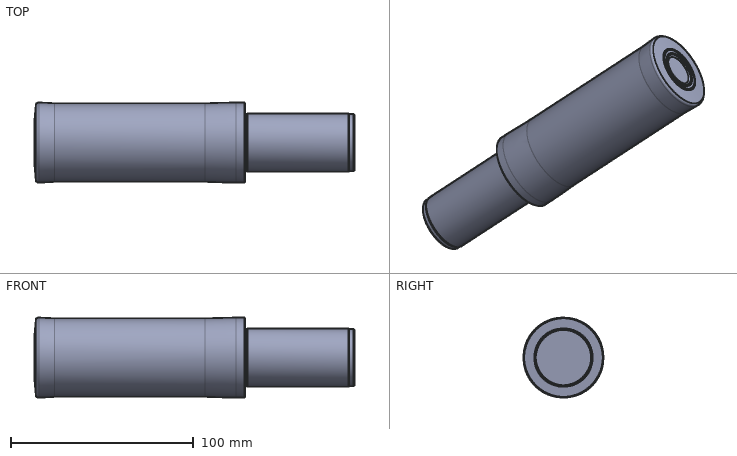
import cadquery as cq

LENGTH = 175.0
RIM_R = 44.0 / 2
BARREL_R = 43.0 / 2

RIM_EDGE = 1.0
EDGE_BULGE = 0.23
BASE_RISE = 0.7
RIM_START = 2.5
RIM_TAPER_END = 10.8
RIM_SAG = 0.1

FLARE_START = 93.1
FLARE_END = 110.0
FLARE_SAG = 0.1
HOUSING_END = 115.2
COLLAR_BEVEL = 0.5

BOSS_R = 13.0
BOSS_BEVEL = 0.9
BOSS_DEPTH = 0.5
PORT_R = 10.3
PORT_DEPTH = 0.4
PORT_SEAT_R = 9.5
PORT_BEVEL_DEPTH = 0.5
PORT_FLOOR_R = 8.2

ROD_R = 32.0 / 2
ROD_NECK_R = 31.5 / 2
ROD_INNER_END = FLARE_START
ROD_SHOULDER = 116.2
ROD_SHOULDER_BEVEL = 0.5
ROD_TIP_STEP = 171.5
ROD_TIP_BEVEL = 0.7
ROD_END_BEVEL = 0.7


def revolve_about_x(profile):
    """Turn a closed (axial, radial) profile about the X axis."""
    return profile.close().revolve(360, (0, 0, 0), (1, 0, 0))


def make_outer_housing():
    edge_middle = ((BASE_RISE + RIM_START) / 2 - EDGE_BULGE, RIM_R - RIM_EDGE / 2 + EDGE_BULGE)
    rim_middle = ((RIM_START + RIM_TAPER_END) / 2, (BARREL_R + RIM_R) / 2 + RIM_SAG)
    flare_middle = ((FLARE_START + FLARE_END) / 2, (BARREL_R + RIM_R) / 2 + FLARE_SAG)
    profile = (
        cq.Workplane("XY")
        .moveTo(0, 0)
        .lineTo(0, BOSS_R)
        .lineTo(BASE_RISE, RIM_R - RIM_EDGE)
        .threePointArc(edge_middle, (RIM_START, RIM_R))
        .threePointArc(rim_middle, (RIM_TAPER_END, BARREL_R))
        .lineTo(FLARE_START, BARREL_R)
        .threePointArc(flare_middle, (FLARE_END, RIM_R))
        .lineTo(HOUSING_END - COLLAR_BEVEL, RIM_R)
        .lineTo(HOUSING_END, RIM_R - COLLAR_BEVEL)
        .lineTo(HOUSING_END, 0)
    )
    return revolve_about_x(profile)


def make_boss_groove():
    """V groove that leaves a bevelled boss around the port."""
    profile = (
        cq.Workplane("XY")
        .moveTo(0, BOSS_R - BOSS_BEVEL)
        .lineTo(BOSS_DEPTH, BOSS_R)
        .lineTo(0, BOSS_R)
    )
    return revolve_about_x(profile)


def make_port():
    """Shallow port with a flat seat and a bevel down to its floor."""
    floor = PORT_DEPTH + PORT_BEVEL_DEPTH
    profile = (
        cq.Workplane("XY")
        .moveTo(0, 0)
        .lineTo(0, PORT_R)
        .lineTo(PORT_DEPTH, PORT_R)
        .lineTo(PORT_DEPTH, PORT_SEAT_R)
        .lineTo(floor, PORT_FLOOR_R)
        .lineTo(floor, 0)
    )
    return revolve_about_x(profile)


def make_rod_bore():
    """Blind bore that fits the neck of the rod."""
    depth = HOUSING_END - ROD_INNER_END
    return cq.Workplane("YZ", origin=(ROD_INNER_END, 0, 0)).circle(ROD_NECK_R).extrude(depth)


def make_housing():
    housing = make_outer_housing().cut(make_boss_groove())
    return housing.cut(make_port()).cut(make_rod_bore())


def make_rod():
    profile = (
        cq.Workplane("XY")
        .moveTo(ROD_INNER_END, 0)
        .lineTo(ROD_INNER_END, ROD_NECK_R)
        .lineTo(ROD_SHOULDER, ROD_NECK_R)
        .lineTo(ROD_SHOULDER + ROD_SHOULDER_BEVEL, ROD_R)
        .lineTo(ROD_TIP_STEP, ROD_R)
        .lineTo(ROD_TIP_STEP + ROD_TIP_BEVEL, ROD_NECK_R)
        .lineTo(LENGTH - ROD_END_BEVEL, ROD_NECK_R)
        .lineTo(LENGTH, ROD_NECK_R - ROD_END_BEVEL)
        .lineTo(LENGTH, 0)
    )
    return revolve_about_x(profile)


housing = make_housing()
rod = make_rod()

result = cq.Compound.makeCompound([housing.val(), rod.val()])